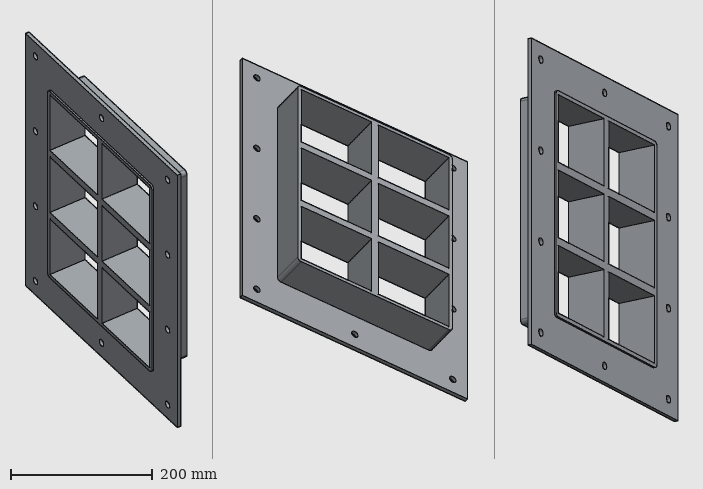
import cadquery as cq

flange_width = 383.0
flange_height = 459.0
flange_thickness = 6.0

bolt_hole_diameter = 10.5
bolt_margin = 25.0
side_bolt_count = 4
bolt_span_x = flange_width - 2 * bolt_margin
bolt_span_z = flange_height - 2 * bolt_margin
side_bolt_pitch = bolt_span_z / (side_bolt_count - 1)

frame_width = 263.0
frame_height = 339.0
frame_depth = 60.0
frame_front_lip = 3.0
frame_wall = 6.0
frame_corner_radius = 6.0
cell_columns = 2
cell_rows = 3
divider_thickness = 2 * frame_wall

cell_pitch_x = (frame_width - 2 * frame_wall + divider_thickness) / cell_columns
cell_pitch_z = (frame_height - 2 * frame_wall + divider_thickness) / cell_rows
cell_width = cell_pitch_x - divider_thickness
cell_height = cell_pitch_z - divider_thickness


def block_from(front_y, width, depth, height):
    """Block centred on X and Z that runs from front_y towards +Y."""
    block = cq.Workplane("XY").box(width, depth, height, centered=(True, False, True))
    return block.translate((0, front_y, 0))


def make_flange():
    """Plain plate with its front face at Y = 0."""
    return block_from(0, flange_width, flange_thickness, flange_height)


def make_frame():
    """Solid frame block with rounded corners, standing slightly proud of the flange front."""
    frame = block_from(-frame_front_lip, frame_width, frame_depth, frame_height)
    return frame.edges("|Y").fillet(frame_corner_radius)


def make_cells():
    """Rectangular cell openings running through the full frame depth."""
    cells = (
        cq.Workplane("XZ", origin=(0, -frame_front_lip, 0))
        .rarray(cell_pitch_x, cell_pitch_z, cell_columns, cell_rows)
        .rect(cell_width, cell_height)
        .extrude(-frame_depth)
    )
    return cells


def make_bolt_holes():
    """Bolt holes: a column down each side and one at the middle of the top and bottom."""
    side_holes = (
        cq.Workplane("XZ")
        .rarray(bolt_span_x, side_bolt_pitch, 2, side_bolt_count)
        .circle(bolt_hole_diameter / 2)
        .extrude(-flange_thickness)
    )
    middle_holes = (
        cq.Workplane("XZ")
        .pushPoints([(0, -bolt_span_z / 2), (0, bolt_span_z / 2)])
        .circle(bolt_hole_diameter / 2)
        .extrude(-flange_thickness)
    )
    return side_holes.union(middle_holes)


result = make_flange().union(make_frame()).cut(make_cells())
result = result.cut(make_bolt_holes())